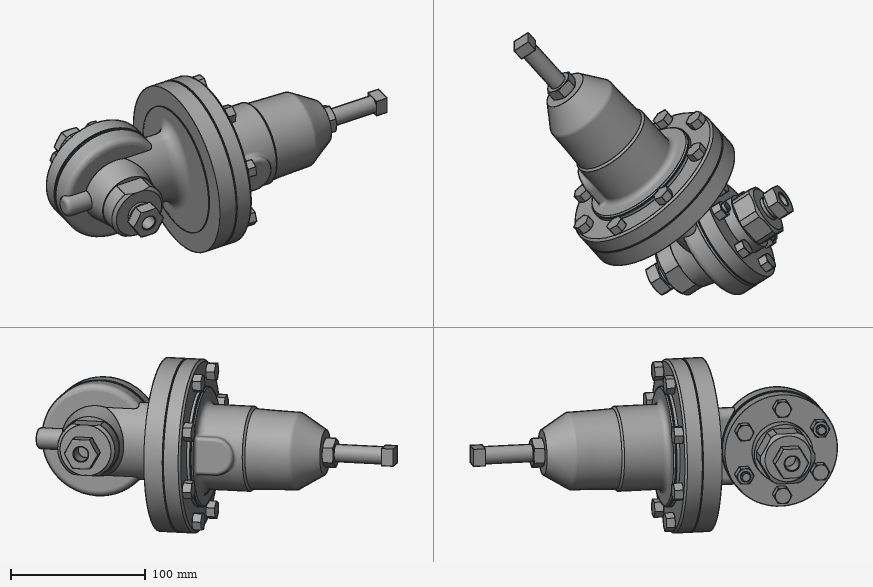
import cadquery as cq
import math


FLANGE_RADIUS = 65.0
FLANGE_BOTTOM = 52.2
FLANGE_TOP = 80.2
FLANGE_CHAMFER = 1.6
PAD_RADIUS = 49.5
PAD_HEIGHT = 0.8
PAD_BOTTOM = FLANGE_BOTTOM - PAD_HEIGHT
PLATE_RADIUS = 45.3
PLATE_TOP = 84.8
PLATE_CHAMFER = 1.0
HOUSING_RADIUS = 31.8
HOUSING_FLARE = 4.7
SHOULDER_Y = 121.3
BARREL_BASE_RADIUS = 30.2
BARREL_TOP_RADIUS = 29.0
BARREL_TOP = 156.0
BARREL_ROUND = 4.0
CONE_TOP_RADIUS = 17.0
CONE_TOP = 175.7

LOCK_NUT_FLATS = 19.5
LOCK_NUT_TURN = 30
LOCK_NUT_TOP = 184.2
SCREW_HEAD_BOTTOM = 220.5
SCREW_HEAD_SIDE = 13.2
SCREW_RADIUS = SCREW_HEAD_SIDE / 2
SCREW_TOP = 229.5

SEAM_WIDTH = 0.8
SEAM_DEPTH = 0.5
FLANGE_SEAM_Y = 66.7
PLATE_SEAM_Y = 83.0
COVER_SEAM_X = -17.8
GASKET_RIGHT = -15.6
GASKET_RECESS = 0.15

MARGIN = 0.3
OVERLAP = 2.7

FLANGE_BOLT_COUNT = 8
FLANGE_BOLT_FLATS = 12.0
FLANGE_BOLT_CIRCLE = 57.0
FLANGE_BOLT_TOP = 87.0
FLANGE_BOLT_TWIST = 15
COVER_BOLT_COUNT = 6
COVER_BOLT_FLATS = 11.8
COVER_BOLT_CIRCLE = 33.2
COVER_BOLT_START_ANGLE = 30
COVER_BOLT_HEAD = 6.9
COVER_NUT_HEIGHT = 7.5
HEX_CHAMFER = 0.5
STUD_RADIUS = 3.8
STUD_LENGTH = 10.7
STUD_CHAMFER = 0.8
STUD_POSITIONS = (2, 5)

VENT_Y = 99.5
VENT_RADIUS = 14.3
VENT_FACE_X = 36.5
VENT_ROUND = 2.7
VENT_FOOT_ROUND = 2.2

NECK_ARC_RADIUS = 33.0
NECK_RIGHT = 12.5
NECK_LEFT = -16.0
NECK_HALF_HEIGHT = 29.0
NECK_LEFT_ROUND = 6.5
NECK_RIGHT_ROUND = 8.2
NECK_FLARE = 9.3

BODY_RADIUS = 42.8
BODY_LEFT = -30.0
BODY_ROUND = 4.7
CONE_BASE_RADIUS = 27.0
CONE_END_RADIUS = 22.5
OUTLET_LEFT = 19.2
OUTLET_RIGHT = 34.5
OUTLET_RADIUS = 22.0
OUTLET_CHAMFER = 2.5
COLLAR_RADIUS = 22.2
COLLAR_LEFT = -39.0
INLET_LEFT = -56.0
INLET_RADIUS = 20.9
INLET_CHAMFER = 1.6
PORT_FLATS = 38.5

FITTING_FLATS = 22.2
FITTING_LENGTH = 14.8
FITTING_HEX_LENGTH = 9.3
FITTING_STEM_RADIUS = 9.3
FITTING_NECK_RADIUS = 8.5
FITTING_NECK_LENGTH = 3.0
BORE_RADIUS = 5.5
BORE_CHAMFER = 0.5

PLUG_RADIUS = 8.0
PLUG_END = -45.0
PLUG_ROUND = 3.3


def corner_diameter(flats):
    return flats / math.cos(math.pi / 6)


def along_y(y):
    """Plane square to Y at the given height; extruding by a negative length goes toward +Y."""
    return cq.Workplane("XZ", origin=(0, y, 0))


def along_x(x):
    """Plane square to X; local axes are Y and Z and extrusion goes toward +X."""
    return cq.Workplane("YZ", origin=(x, 0, 0))


def hexagon(plane, flats, length, chamfered_ends=None):
    """Hexagon prism with its corners chamfered down to the flats at the selected end faces."""
    prism = plane.polygon(6, corner_diameter(flats)).extrude(length)
    if chamfered_ends is None:
        return prism
    corner_overhang = (corner_diameter(flats) - flats) / 2
    envelope = plane.circle(corner_diameter(flats) / 2).extrude(length)
    return prism.intersect(envelope.faces(chamfered_ends).chamfer(HEX_CHAMFER, corner_overhang))


def hexagon_along_y(flats, bottom, top, angle, chamfered_ends=None):
    prism = hexagon(along_y(bottom), flats, bottom - top, chamfered_ends)
    return prism.rotate((0, 0, 0), (0, 1, 0), angle)


def hexagon_along_x(flats, left, right, chamfered_ends=None):
    return hexagon(along_x(left), flats, right - left, chamfered_ends)


def cylinder_along_x(radius, left, right):
    return along_x(left).circle(radius).extrude(right - left)


def seam_ring(plane, radius):
    return plane.circle(radius + OVERLAP).circle(radius - SEAM_DEPTH).extrude(SEAM_WIDTH / 2, both=True)


def box_selector(x_range, y_range, z_reach, whole_edge=False):
    """Pick edges by their centre, or by their whole extent, inside a box symmetric in Z."""
    low = (x_range[0], y_range[0], -z_reach)
    high = (x_range[1], y_range[1], z_reach)
    return cq.selectors.BoxSelector(low, high, boundingbox=whole_edge)


def flange_and_neck():
    flange = along_y(FLANGE_BOTTOM).circle(FLANGE_RADIUS).extrude(FLANGE_BOTTOM - FLANGE_TOP)
    flange = flange.faces(">Y").chamfer(FLANGE_CHAMFER)
    flange = flange.cut(seam_ring(along_y(FLANGE_SEAM_Y), FLANGE_RADIUS))
    pad = along_y(PAD_BOTTOM).circle(PAD_RADIUS).extrude(-PAD_HEIGHT)

    arc_centre = NECK_RIGHT - NECK_ARC_RADIUS
    arc_end = arc_centre + math.sqrt(NECK_ARC_RADIUS**2 - NECK_HALF_HEIGHT**2)
    neck = (
        along_y(PAD_BOTTOM)
        .moveTo(NECK_LEFT, -NECK_HALF_HEIGHT)
        .lineTo(arc_end, -NECK_HALF_HEIGHT)
        .threePointArc((NECK_RIGHT, 0), (arc_end, NECK_HALF_HEIGHT))
        .lineTo(NECK_LEFT, NECK_HALF_HEIGHT)
        .close()
        .extrude(PAD_BOTTOM)
    )
    neck = neck.edges("|Y and <X").fillet(NECK_LEFT_ROUND)
    near_arc = box_selector((arc_end - MARGIN, arc_end + MARGIN), (0, PAD_BOTTOM), PAD_RADIUS)
    neck = neck.edges("|Y").edges(near_arc).fillet(NECK_RIGHT_ROUND)
    at_pad = (PAD_BOTTOM - MARGIN, PAD_BOTTOM + MARGIN)
    inside_pad = PAD_RADIUS - OVERLAP
    joint = box_selector((-inside_pad, inside_pad), at_pad, inside_pad, whole_edge=True)
    return flange.union(pad).union(neck).edges(joint).fillet(NECK_FLARE)


def spring_housing():
    """Plate, housing and cone turned about Y, with the vent boss blended in."""
    flare_top = PLATE_TOP + HOUSING_FLARE
    shoulder = HOUSING_RADIUS - BARREL_BASE_RADIUS
    bend = HOUSING_FLARE * (1 - math.cos(math.pi / 4))
    housing = (
        cq.Workplane("XY")
        .moveTo(0, FLANGE_TOP)
        .lineTo(PLATE_RADIUS, FLANGE_TOP)
        .lineTo(PLATE_RADIUS, PLATE_TOP - PLATE_CHAMFER)
        .lineTo(PLATE_RADIUS - PLATE_CHAMFER, PLATE_TOP)
        .lineTo(HOUSING_RADIUS + HOUSING_FLARE, PLATE_TOP)
        .threePointArc((HOUSING_RADIUS + bend, PLATE_TOP + bend), (HOUSING_RADIUS, flare_top))
        .lineTo(HOUSING_RADIUS, SHOULDER_Y - shoulder)
        .lineTo(BARREL_BASE_RADIUS, SHOULDER_Y)
        .lineTo(BARREL_TOP_RADIUS, BARREL_TOP)
        .lineTo(CONE_TOP_RADIUS, CONE_TOP)
        .lineTo(0, CONE_TOP)
        .close()
        .revolve(360, (0, 0), (0, 1))
    )
    at_rim = (BARREL_TOP - MARGIN, BARREL_TOP + MARGIN)
    rim = box_selector((-HOUSING_RADIUS, HOUSING_RADIUS), at_rim, HOUSING_RADIUS)
    housing = housing.edges(rim).fillet(BARREL_ROUND)
    housing = housing.union(vent_boss())
    vent_side = (HOUSING_RADIUS / 2, VENT_FACE_X - VENT_ROUND - MARGIN)
    foot = box_selector(vent_side, (PLATE_TOP + MARGIN, SHOULDER_Y), HOUSING_RADIUS)
    housing = housing.edges(foot).fillet(VENT_FOOT_ROUND)
    return housing.cut(seam_ring(along_y(PLATE_SEAM_Y), PLATE_RADIUS))


def vent_boss():
    """Boss with a round top that runs down to the flange."""
    foot_height = VENT_Y - FLANGE_TOP
    boss = along_x(0).center(VENT_Y, 0).circle(VENT_RADIUS).extrude(VENT_FACE_X)
    foot = (
        along_x(0)
        .center(VENT_Y - foot_height / 2, 0)
        .rect(foot_height, 2 * VENT_RADIUS)
        .extrude(VENT_FACE_X)
    )
    return boss.union(foot).faces(">X").edges().fillet(VENT_ROUND)


def adjusting_screw():
    lock_nut = hexagon_along_y(LOCK_NUT_FLATS, CONE_TOP, LOCK_NUT_TOP, LOCK_NUT_TURN, "<Y or >Y")
    stem = along_y(CONE_TOP).circle(SCREW_RADIUS).extrude(CONE_TOP - SCREW_TOP)
    head = (
        along_y(SCREW_HEAD_BOTTOM)
        .rect(SCREW_HEAD_SIDE, SCREW_HEAD_SIDE)
        .extrude(SCREW_HEAD_BOTTOM - SCREW_TOP)
    )
    return lock_nut.union(stem).union(head)


def flange_bolts():
    bolts = cq.Workplane("XY")
    pitch = 360 / FLANGE_BOLT_COUNT
    bolt = hexagon_along_y(FLANGE_BOLT_FLATS, FLANGE_TOP, FLANGE_BOLT_TOP, -FLANGE_BOLT_TWIST, "<Y")
    bolt = bolt.translate((FLANGE_BOLT_CIRCLE, 0, 0))
    for index in range(FLANGE_BOLT_COUNT):
        bolts = bolts.union(bolt.rotate((0, 0, 0), (0, 1, 0), (index + 0.5) * pitch))
    return bolts


def valve_body():
    body = cylinder_along_x(BODY_RADIUS, BODY_LEFT, 0).faces(">X").edges().fillet(BODY_ROUND)
    gasket = (
        along_x(COVER_SEAM_X)
        .circle(BODY_RADIUS + OVERLAP)
        .circle(BODY_RADIUS - GASKET_RECESS)
        .extrude(GASKET_RIGHT - COVER_SEAM_X)
    )
    body = body.cut(seam_ring(along_x(COVER_SEAM_X), BODY_RADIUS)).cut(gasket)
    cone = (
        cq.Workplane("XY")
        .polyline([(-OVERLAP, 0), (-OVERLAP, CONE_BASE_RADIUS), (0, CONE_BASE_RADIUS),
                   (OUTLET_LEFT, CONE_END_RADIUS), (OUTLET_LEFT, 0)])
        .close()
        .revolve(360, (0, 0), (1, 0))
    )
    plug = along_y(0).circle(PLUG_RADIUS).extrude(-PLUG_END)
    plug = plug.faces("<Y").edges().fillet(PLUG_ROUND)
    return body.union(cone).union(plug)


def outlet_port():
    """Round port with two wrench flats, facing +Z and -Z."""
    port = cylinder_along_x(OUTLET_RADIUS, OUTLET_LEFT, OUTLET_RIGHT)
    port = port.faces(">X").chamfer(OUTLET_CHAMFER)
    flats = along_x(OUTLET_LEFT).rect(4 * OUTLET_RADIUS, PORT_FLATS).extrude(OUTLET_RIGHT - OUTLET_LEFT)
    return port.intersect(flats)


def inlet_port():
    """Collar and hexagon port with its corners turned round."""
    collar = cylinder_along_x(COLLAR_RADIUS, COLLAR_LEFT, BODY_LEFT)
    port = cylinder_along_x(INLET_RADIUS, INLET_LEFT, COLLAR_LEFT)
    port = port.faces("<X").chamfer(INLET_CHAMFER, 2 * INLET_CHAMFER)
    return collar.union(port.intersect(hexagon_along_x(PORT_FLATS, INLET_LEFT, COLLAR_LEFT)))


def inlet_fitting():
    """Bored hexagon fitting on the inlet, with its outer face toward -X."""
    end = INLET_LEFT - FITTING_LENGTH
    hex_end = end + FITTING_HEX_LENGTH
    neck_end = hex_end + FITTING_NECK_LENGTH
    fitting = hexagon_along_x(FITTING_FLATS, end, hex_end, "<X")
    fitting = fitting.union(cylinder_along_x(FITTING_NECK_RADIUS, hex_end, neck_end))
    fitting = fitting.union(cylinder_along_x(FITTING_STEM_RADIUS, neck_end, INLET_LEFT))
    bore = cylinder_along_x(BORE_RADIUS, end, end + FITTING_LENGTH)
    countersink = along_x(end).circle(BORE_RADIUS + BORE_CHAMFER).extrude(BORE_CHAMFER, taper=45)
    return fitting.cut(bore).cut(countersink)


def cover_fasteners():
    """Four plain hexagon heads and two nuts with protruding studs."""
    fasteners = cq.Workplane("XY")
    for index in range(COVER_BOLT_COUNT):
        angle = math.radians(COVER_BOLT_START_ANGLE + index * 360 / COVER_BOLT_COUNT)
        place = (0, COVER_BOLT_CIRCLE * math.cos(angle), COVER_BOLT_CIRCLE * math.sin(angle))
        if index in STUD_POSITIONS:
            nut = hexagon_along_x(COVER_BOLT_FLATS, BODY_LEFT - COVER_NUT_HEIGHT, BODY_LEFT, "<X")
            stud = cylinder_along_x(STUD_RADIUS, BODY_LEFT - STUD_LENGTH, BODY_LEFT)
            fastener = nut.union(stud.faces("<X").chamfer(STUD_CHAMFER))
        else:
            fastener = hexagon_along_x(COVER_BOLT_FLATS, BODY_LEFT - COVER_BOLT_HEAD, BODY_LEFT, "<X")
        fasteners = fasteners.union(fastener.translate(place))
    return fasteners


left_fitting = inlet_fitting()
right_fitting = left_fitting.mirror("YZ").translate((INLET_LEFT + OUTLET_RIGHT, 0, 0))

regulator = flange_and_neck().union(spring_housing())
regulator = regulator.union(adjusting_screw()).union(flange_bolts())
valve = valve_body().union(outlet_port()).union(inlet_port()).union(cover_fasteners())
valve = valve.union(left_fitting).union(right_fitting)

result = regulator.union(valve)